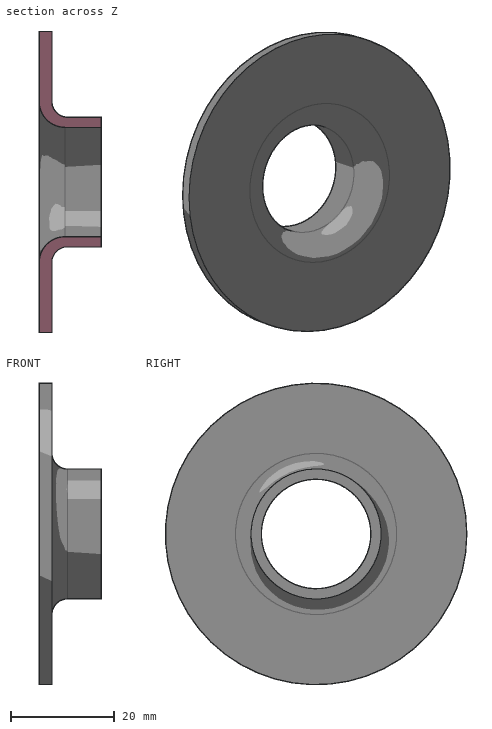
import cadquery as cq
import math


FLANGE_DIAMETER = 58.0
FLANGE_THICKNESS = 2.5
TUBE_OUTER_DIAMETER = 25.0
BORE_DIAMETER = 21.0
TOTAL_LENGTH = 12.0
OUTER_FILLET_RADIUS = 3.0

flange_radius = FLANGE_DIAMETER / 2
tube_radius = TUBE_OUTER_DIAMETER / 2
bore_radius = BORE_DIAMETER / 2

rounding_start_radius = tube_radius + OUTER_FILLET_RADIUS
throat_radius = rounding_start_radius - bore_radius
outer_fillet_end = FLANGE_THICKNESS + OUTER_FILLET_RADIUS


def arc_midpoint(center_x, center_y, radius):
    """Middle of the quarter arc facing the flange front (-X) and the axis (-Y)."""
    offset = radius * math.sqrt(0.5)
    return (center_x - offset, center_y - offset)


def half_profile():
    """Closed wall section in the XY plane: X along the axis, Y as the radius."""
    throat_middle = arc_midpoint(throat_radius, rounding_start_radius, throat_radius)
    fillet_middle = arc_midpoint(outer_fillet_end, rounding_start_radius, OUTER_FILLET_RADIUS)
    return (
        cq.Workplane("XY")
        .moveTo(0, flange_radius)
        .lineTo(0, rounding_start_radius)
        .threePointArc(throat_middle, (throat_radius, bore_radius))
        .lineTo(TOTAL_LENGTH, bore_radius)
        .lineTo(TOTAL_LENGTH, tube_radius)
        .lineTo(outer_fillet_end, tube_radius)
        .threePointArc(fillet_middle, (FLANGE_THICKNESS, rounding_start_radius))
        .lineTo(FLANGE_THICKNESS, flange_radius)
        .close()
    )


result = half_profile().revolve(360, (0, 0, 0), (1, 0, 0))